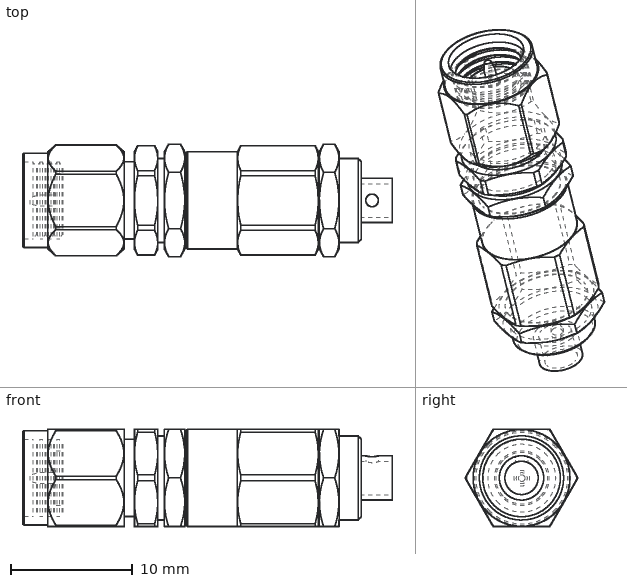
import cadquery as cq
import math


length = 30.35
across_flats = 8.0
flat_radius = across_flats / 2
sharp_corner_radius = flat_radius / math.cos(math.pi / 6)
bevel_face_radius = 3.98

collar_radius = 3.88
collar_chamfer = 0.12
nut_start = 2.05
nut_end = 8.35
nut_corner_radius = 4.55
nut_bevel = 0.67

neck_radius = 3.2
front_hex_start = 9.17
front_hex_end = 11.1
blunt_corner_radius = 4.5
blunt_bevel = 0.27
ring_radius = 3.45
middle_hex_start = 11.62
middle_hex_end = 13.32
sharp_bevel = 0.35

body_start = 13.4
body_chamfer = 0.12
body_hex_start = 17.63
body_hex_end = 24.28

rear_hex_start = 24.35
rear_hex_end = 25.98
rear_collar_end = 27.8
rear_collar_chamfer = 0.27
tip_radius = 1.82
cup_radius = 1.37
side_hole_position = 28.68
side_hole_diameter = 1.03

thread_major_radius = 3.15
thread_minor_radius = 2.8
thread_pitch = 0.7
thread_crest = 0.05
thread_flank_angle = math.radians(30)
thread_count = 3
thread_depth = thread_major_radius - thread_minor_radius
entry_depth = 0.82
entry_taper = 0.3
thread_start = entry_depth + entry_taper + thread_crest
socket_depth = thread_start + thread_count * thread_pitch

plug_face = 2.52
plug_radius = 2.25
plug_chamfer = 0.12
pin_radius = 0.45
pin_tip_radius = 0.27
pin_start = 0.6
pin_taper = 0.73
pin_recess_radius = 0.65
pin_recess_depth = 0.15


def cylinder(start, end, radius):
    """Solid cylinder along X."""
    return cq.Workplane("YZ", origin=(start, 0, 0)).circle(radius).extrude(end - start)


def revolve(points):
    """Solid of revolution about X from (x, radius) points."""
    return cq.Workplane("XY").polyline(points).close().revolve(360, (0, 0), (1, 0))


def hexagon(start, end, corner_radius, bevel):
    """Hexagon with flats on top and bottom, rounded corners and conical end bevels."""
    prism = (
        cq.Workplane("YZ", origin=(start, 0, 0))
        .polygon(6, 2 * sharp_corner_radius)
        .extrude(end - start)
    )
    envelope = revolve([
        (start, 0),
        (start, bevel_face_radius),
        (start + bevel, corner_radius),
        (end - bevel, corner_radius),
        (end, bevel_face_radius),
        (end, 0),
    ])
    return prism.intersect(envelope)


def socket_cavity():
    """Wide entry bore, conical step and a narrower bore with flat-bottomed thread grooves."""
    flank = thread_depth * math.tan(thread_flank_angle)
    outline = [
        (0, 0),
        (0, thread_major_radius),
        (entry_depth, thread_major_radius),
        (entry_depth + entry_taper, thread_minor_radius),
        (thread_start, thread_minor_radius),
    ]
    for turn in range(thread_count):
        groove_start = thread_start + turn * thread_pitch
        groove_end = groove_start + thread_pitch - thread_crest
        outline += [
            (groove_start + flank, thread_major_radius),
            (groove_end - flank, thread_major_radius),
            (groove_end, thread_minor_radius),
            (groove_end + thread_crest, thread_minor_radius),
        ]
    outline.append((socket_depth, 0))
    return revolve(outline)


def plug_and_pin():
    """Chamfered plug on the socket floor with a tapered pin in a shallow recess."""
    recess_floor = plug_face + pin_recess_depth
    return revolve([
        (pin_start, 0),
        (pin_start, pin_tip_radius),
        (pin_start + pin_taper, pin_radius),
        (recess_floor, pin_radius),
        (recess_floor, pin_recess_radius),
        (plug_face, pin_recess_radius),
        (plug_face, plug_radius - plug_chamfer),
        (plug_face + plug_chamfer, plug_radius),
        (nut_end, plug_radius),
        (nut_end, 0),
    ])


front_collar = cylinder(0, nut_start, collar_radius).faces("<X").chamfer(collar_chamfer)
body = cylinder(body_start, body_hex_start, flat_radius).faces("<X").chamfer(body_chamfer)
rear_collar = (
    cylinder(rear_hex_end, rear_collar_end, ring_radius)
    .faces(">X")
    .chamfer(rear_collar_chamfer)
)
sections = [
    hexagon(nut_start, nut_end, nut_corner_radius, nut_bevel),
    cylinder(nut_end, front_hex_start, neck_radius),
    hexagon(front_hex_start, front_hex_end, blunt_corner_radius, blunt_bevel),
    cylinder(front_hex_end, middle_hex_start, ring_radius),
    hexagon(middle_hex_start, middle_hex_end, sharp_corner_radius, sharp_bevel),
    cylinder(middle_hex_end, body_start, ring_radius),
    body,
    hexagon(body_hex_start, body_hex_end, blunt_corner_radius, blunt_bevel),
    cylinder(body_hex_end, rear_hex_start, ring_radius),
    hexagon(rear_hex_start, rear_hex_end, sharp_corner_radius, sharp_bevel),
    rear_collar,
    cylinder(rear_collar_end, length, tip_radius),
]
result = front_collar
for section in sections:
    result = result.union(section)

result = result.cut(socket_cavity()).union(plug_and_pin())

result = result.cut(cylinder(rear_collar_end, length, cup_radius))
side_hole = (
    cq.Workplane("XY", origin=(side_hole_position, 0, 0))
    .circle(side_hole_diameter / 2)
    .extrude(tip_radius)
)
result = result.cut(side_hole)